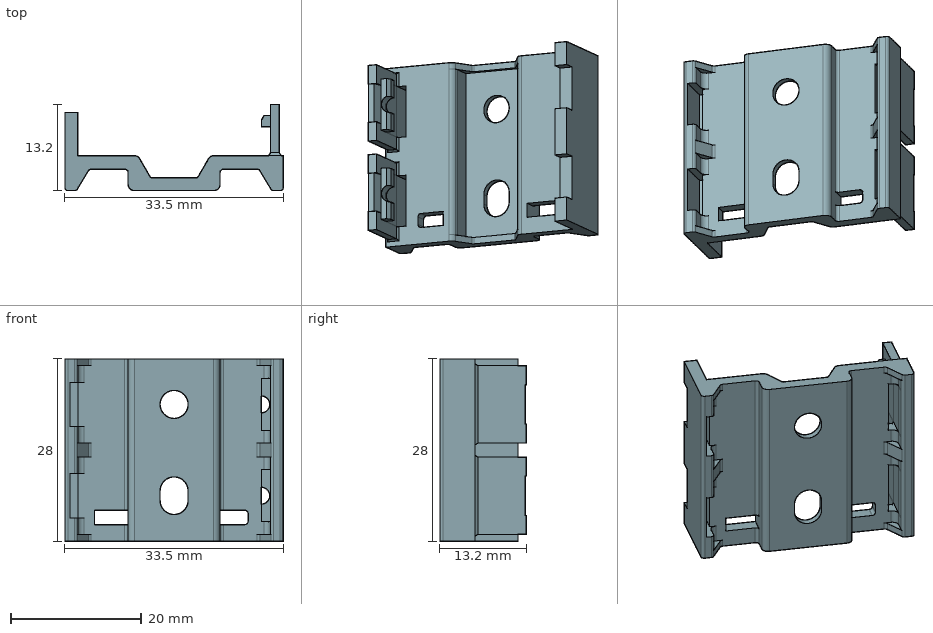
import cadquery as cq
import math

width = 33.55
height = 28.0
plate_top = 5.4
plate_under = 3.3
flange = 2.0
left_wall_top = 12.0
edge_round = 0.5
flange_fillet = 0.97

channel_width = 14.15
channel_slope = math.radians(60)
channel_outer_round = 1.0
channel_floor = 2.0
channel_floor_width = 7.18
channel_crest_round = 1.0
channel_floor_round = 0.3

relief_floor = 1.25
relief_end = 1.0

gusset_thickness = 2.1
gusset_slope = math.radians(59)

hole_diameter = 4.25
oblong_length = 5.75

slot_bottom = 2.6
slot_height = 2.18
left_slot_start = 4.55
right_slot_end = 28.1
slot_corner_round = 0.5

arm_inner = 31.55
arm_thickness = 1.4
arm_top = 13.25
arm_length = 11.88
arm_foot_height = 0.45
arm_foot_flare = 0.27
ramp_length = 6.0
ramp_top = 13.12
ramp_depth = 0.45
hook_reach = 1.38
hook_length = 8.0
hook_bottom = 9.8
hook_top = 11.57
hook_chamfer_x = 0.45
hook_chamfer_y = 0.75
hook_notch_radius = 1.27

catch_length = 6.78
catch_notch_bottom = 10.0
catch_lip = 0.77

middle = width / 2
bay_centres = [height / 4, height * 3 / 4]
channel_left = middle - channel_width / 2
channel_right = middle + channel_width / 2
floor_left = middle - channel_floor_width / 2
floor_right = middle + channel_floor_width / 2
crest_offset = (plate_top - channel_floor) / math.tan(channel_slope)
crest_left = floor_left - crest_offset
crest_right = floor_right + crest_offset
hook_tip = arm_inner - hook_reach


def box(x0, x1, y0, y1, z0, z1):
    return cq.Workplane("XY").box(x1 - x0, y1 - y0, z1 - z0, centered=False).translate((x0, y0, z0))


def centred_box(x0, x1, y0, y1, z_centre, length):
    return box(x0, x1, y0, y1, z_centre - length / 2, z_centre + length / 2)


def round_corners(body, radius, corners):
    """Fillet the full-height edges that pass through the given XY corners."""
    for x, y in corners:
        body = body.edges(cq.selectors.NearestToPointSelector((x, y, height / 2))).fillet(radius)
    return body


def rail():
    """Constant section: two flanges, the plate, the central channel and the left wall."""
    body = (
        cq.Workplane("XY")
        .polyline([
            (0, 0),
            (flange, 0),
            (flange, plate_under),
            (channel_left, plate_under),
            (channel_left, 0),
            (channel_right, 0),
            (channel_right, plate_under),
            (width - flange, plate_under),
            (width - flange, 0),
            (width, 0),
            (width, plate_top),
            (crest_right, plate_top),
            (floor_right, channel_floor),
            (floor_left, channel_floor),
            (crest_left, plate_top),
            (flange, plate_top),
            (flange, left_wall_top),
            (0, left_wall_top),
        ])
        .close()
        .extrude(height)
    )
    body = round_corners(body, edge_round, [
        (0, 0), (flange, 0), (width - flange, 0), (width, 0),
        (channel_left, plate_under), (channel_right, plate_under),
    ])
    body = round_corners(body, flange_fillet, [(flange, plate_under), (width - flange, plate_under)])
    body = round_corners(body, channel_outer_round, [(channel_left, 0), (channel_right, 0)])
    body = round_corners(body, channel_crest_round, [(crest_left, plate_top), (crest_right, plate_top)])
    return round_corners(body, channel_floor_round, [
        (floor_left, channel_floor), (floor_right, channel_floor),
    ])


def channel_relief():
    """Square-sided recess whose walls run tangent into the channel crest rounds."""
    round_centre = crest_right + channel_crest_round * math.tan(channel_slope / 2)
    wall = round_centre - channel_crest_round
    round_start = plate_top - channel_crest_round
    right_half = (
        cq.Workplane("XY", origin=(0, 0, relief_end))
        .moveTo(middle, relief_floor)
        .lineTo(wall, relief_floor)
        .lineTo(wall, round_start)
        .tangentArcPoint((round_centre, plate_top), relative=False)
        .lineTo(middle, plate_top)
        .close()
        .extrude(height - 2 * relief_end)
    )
    return right_half.union(mirrored(right_half))


def left_gussets():
    """Sloped webs that leave the flange tip tangent to its round and fillet into the plate."""
    tip_x = flange - edge_round + edge_round * math.sin(gusset_slope)
    tip_y = edge_round - edge_round * math.cos(gusset_slope)
    root_x = tip_x + (plate_under - tip_y) / math.tan(gusset_slope)
    tangent = edge_round * math.tan(gusset_slope / 2)
    profile = (
        cq.Workplane("XY")
        .moveTo(tip_x, tip_y)
        .lineTo(root_x - tangent * math.cos(gusset_slope), plate_under - tangent * math.sin(gusset_slope))
        .tangentArcPoint((root_x + tangent, plate_under), relative=False)
        .lineTo(root_x + tangent, plate_top)
        .lineTo(flange / 2, plate_top)
        .lineTo(flange / 2, tip_y)
        .close()
    )
    web = profile.extrude(gusset_thickness)
    webs = cq.Workplane("XY")
    for z_centre in (0, height / 2, height):
        webs = webs.add(web.translate((0, 0, z_centre - gusset_thickness / 2)))
    return webs.combine().intersect(box(0, width, 0, plate_top, 0, height))


def mirrored(body):
    """Mirror image of a body about the middle of the width."""
    return body.mirror("YZ", (middle, 0, 0))


def snap_arm(z_centre):
    """Upright arm with a flared foot, a ramped top and an inward hook with a half-round notch."""
    arm_outer = arm_inner + arm_thickness
    arm = centred_box(arm_inner, arm_outer, plate_top, arm_top, z_centre, arm_length)
    foot = (
        cq.Workplane("XZ", origin=(arm_inner + arm_thickness / 2, plate_top, z_centre))
        .rect(arm_thickness + 2 * arm_foot_flare, arm_length + 2 * arm_foot_flare)
        .workplane(offset=-arm_foot_height)
        .rect(arm_thickness, arm_length)
        .loft()
    )
    ramp = (
        cq.Workplane("XY", origin=(0, 0, z_centre - ramp_length / 2))
        .polyline([
            (arm_inner, hook_top),
            (arm_inner + ramp_depth, ramp_top),
            (arm_outer, ramp_top),
            (arm_outer, arm_top),
            (arm_inner, arm_top),
        ])
        .close()
        .extrude(ramp_length)
    )
    hook = (
        cq.Workplane("XY", origin=(0, 0, z_centre - hook_length / 2))
        .polyline([
            (arm_inner, hook_bottom),
            (hook_tip, hook_bottom),
            (hook_tip, hook_top - hook_chamfer_y),
            (hook_tip + hook_chamfer_x, hook_top),
            (arm_inner, hook_top),
        ])
        .close()
        .extrude(hook_length)
    )
    notch = (
        cq.Workplane("XZ", origin=(hook_tip, hook_bottom, z_centre))
        .circle(hook_notch_radius)
        .extrude(hook_bottom - hook_top)
    )
    return arm.union(foot).cut(ramp).union(hook.cut(notch))


def arm_window(z_centre):
    """Opening through plate and flange fillet directly below a hook."""
    return centred_box(hook_tip, arm_inner, 0, hook_bottom, z_centre, hook_length)


def catch_cut(z_centre):
    """Notch in the top of the left wall and the pocket in the flange below it."""
    notch = centred_box(0, flange, catch_notch_bottom, left_wall_top, z_centre, catch_length)
    pocket = centred_box(catch_lip, flange, 0, plate_top, z_centre, catch_length)
    fillet_relief = centred_box(flange, flange + flange_fillet, 0, plate_under, z_centre, catch_length)
    return notch.union(pocket).union(fillet_relief)


def screw_holes():
    """Oblong hole in the lower bay and round hole in the upper bay."""
    lower, upper = bay_centres
    plane = cq.Workplane("XZ")
    oblong = plane.center(middle, lower).slot2D(oblong_length, hole_diameter, 90).extrude(-channel_floor)
    round_hole = plane.center(middle, upper).circle(hole_diameter / 2).extrude(-channel_floor)
    return oblong.union(round_hole)


def side_slots():
    """Slots through the plate that run up to the channel sides."""
    slot_top = slot_bottom + slot_height
    left = box(left_slot_start, channel_left, 0, plate_top, slot_bottom, slot_top)
    right = box(channel_right, right_slot_end, 0, plate_top, slot_bottom, slot_top)
    right = right.edges("|Y and >X").fillet(slot_corner_round)
    return left.union(right)


gussets = left_gussets()
result = rail().union(gussets).union(mirrored(gussets)).cut(channel_relief())
for bay in bay_centres:
    result = result.union(snap_arm(bay))
    result = result.cut(arm_window(bay))
    result = result.cut(catch_cut(bay))
result = result.cut(screw_holes()).cut(side_slots())